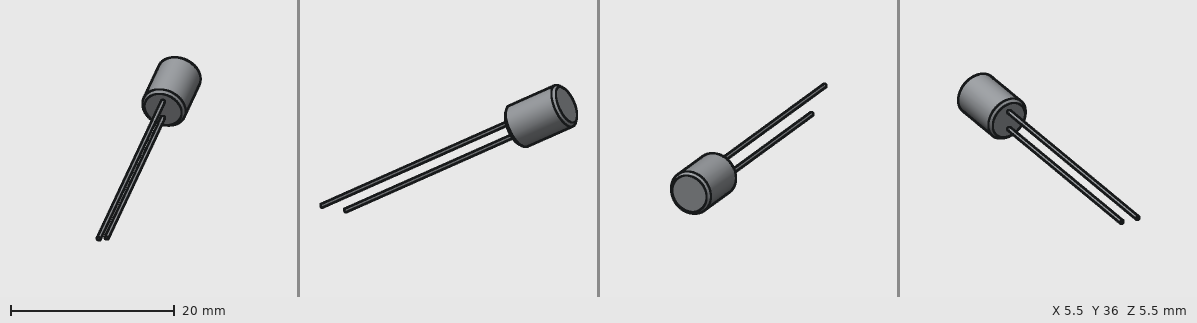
import cadquery as cq

body_diameter = 5.5
body_length = 7.5
edge_chamfer = 0.4

lead_diameter = 0.5
lead_spacing = 2.5
overall_length = 36.0
lead_length_difference = 3.5

long_lead_length = overall_length - body_length
short_lead_length = long_lead_length - lead_length_difference


def make_body():
    """Cylinder from the lead face at Y = 0 to +Y, with both end rims chamfered."""
    return (
        cq.Workplane("XZ")
        .circle(body_diameter / 2)
        .extrude(-body_length)
        .edges("%CIRCLE")
        .chamfer(edge_chamfer)
    )


def make_lead(height, length):
    """Round wire at the given Z height, running from the lead face toward -Y."""
    return cq.Workplane("XZ").center(0, height).circle(lead_diameter / 2).extrude(length)


long_lead = make_lead(lead_spacing / 2, long_lead_length)
short_lead = make_lead(-lead_spacing / 2, short_lead_length)

result = make_body().union(long_lead).union(short_lead)